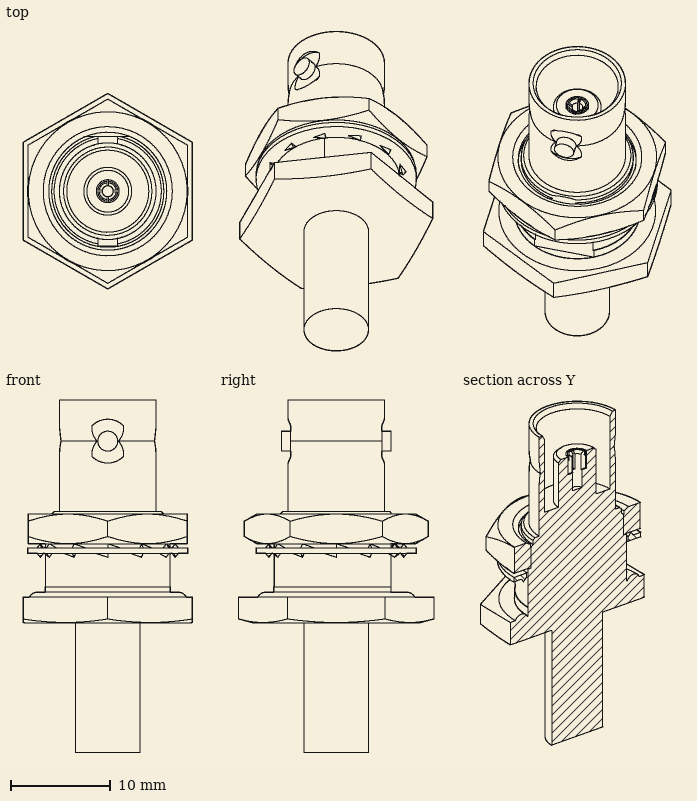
import cadquery as cq
import math


OVERSHOOT = 1.0

TOTAL_HEIGHT = 35.4
TAIL_RADIUS = 3.25
TAIL_LENGTH = 13.0
FLANGE_THICKNESS = 2.6
FLANGE_TOP = TAIL_LENGTH + FLANGE_THICKNESS
FLANGE_ACROSS_FLATS = 17.0
FLANGE_CHAMFER_RADIUS = 8.3
FLANGE_CHAMFER_ANGLE = 15.0

SEAL_CENTRE_RADIUS = 7.1
SEAL_SECTION_RADIUS = 0.85
SEAL_PROTRUSION = 0.5
SEAL_TOP = FLANGE_TOP + SEAL_PROTRUSION

SHANK_RADIUS = 6.3
SHANK_TOP = SEAL_TOP + 0.5
THREAD_RADIUS = 6.25
COLLAR_TOP = 24.2
COLLAR_RADIUS = 5.63
COLLAR_TOP_RADIUS = 5.38
COLLAR_HEIGHT = 0.7
NECK_RADIUS = 5.92
THREAD_FLAT_Y = 5.5

BARREL_RADIUS = 4.85
GROOVE_DEPTH = 0.15
GROOVE_HALF_WIDTH = 1.33
LUG_HEIGHT = 31.25
LUG_RADIUS = 1.0
LUG_TIP_SPAN = 11.0
SPOT_RADIUS = 2.2
SPOT_FLAT_SPAN = 9.16

BORE_RADIUS = 4.12
BORE_MOUTH_RADIUS = 4.43
BORE_MOUTH_DEPTH = 0.5
BORE_DEPTH = 8.7
POST_RADIUS = 2.4
POST_TOP_RADIUS = 2.1
POST_TOP = TOTAL_HEIGHT - 3.4
CONTACT_RADIUS = 1.0
CONTACT_GAP_RADIUS = 1.15
CONTACT_GAP_DEPTH = 0.5
CONTACT_HOLE_RADIUS = 0.55
CONTACT_MOUTH_RADIUS = 0.85
CONTACT_HOLE_DEPTH = 4.0
CONTACT_SLOT_WIDTH = 0.2
CONTACT_SLOT_DEPTH = 2.0
CONTACT_SLOT_COUNT = 4

WASHER_RADIUS = 8.05
WASHER_BORE_RADIUS = 6.4
WASHER_BOTTOM = 20.0
WASHER_THICKNESS = 0.55
WASHER_TOP = WASHER_BOTTOM + WASHER_THICKNESS
TOOTH_COUNT = 12
TOOTH_HEIGHT = 0.4
TOOTH_TIP_RADIUS = 6.77
TOOTH_HALF_WIDTH = 0.33
TOOTH_ANGLE = 10.5

NUT_BOTTOM = WASHER_TOP + TOOTH_HEIGHT
NUT_THICKNESS = 3.0
NUT_TOP = NUT_BOTTOM + NUT_THICKNESS
NUT_ACROSS_FLATS = 16.0
NUT_CHAMFER_ANGLE = 30.0
NUT_CHAMFER_RADIUS = 7.97
NUT_MOUTH_RADIUS = 6.48
NUT_MOUTH_ANGLE = 30.0


def slope(angle):
    return math.tan(math.radians(angle))


def revolve(profile):
    """Turn a closed XZ profile (X is the radius) around the Z axis."""
    return profile.close().revolve(360, (0, 0, 0), (0, 1, 0))


def cylinder(radius, bottom, top):
    return cq.Workplane("XY").workplane(offset=bottom).circle(radius).extrude(top - bottom)


def hexagon(across_flats, bottom, top):
    """Hexagonal prism with corners on the Y axis and flats facing +X and -X."""
    corner_diameter = across_flats / math.cos(math.pi / 6)
    prism = cq.Workplane("XY").workplane(offset=bottom).polygon(6, corner_diameter)
    return prism.extrude(top - bottom).rotate((0, 0, 0), (0, 0, 1), 30)


def corner_chamfer(start_radius, angle, face_z, inward):
    """Ring that bevels hexagon corners at face_z; inward is +1 or -1 along Z."""
    outer_radius = 2 * start_radius
    drop = (outer_radius - start_radius) * slope(angle)
    return revolve(
        cq.Workplane("XZ")
        .moveTo(start_radius, face_z)
        .lineTo(outer_radius, face_z + inward * drop)
        .lineTo(outer_radius, face_z)
    )


def make_flange():
    flange = hexagon(FLANGE_ACROSS_FLATS, TAIL_LENGTH, FLANGE_TOP)
    flange = flange.cut(corner_chamfer(FLANGE_CHAMFER_RADIUS, FLANGE_CHAMFER_ANGLE, TAIL_LENGTH, 1))
    seal_centre = cq.Vector(0, 0, SEAL_TOP - SEAL_SECTION_RADIUS)
    seal = cq.Workplane(cq.Solid.makeTorus(SEAL_CENTRE_RADIUS, SEAL_SECTION_RADIUS, seal_centre))
    return flange.union(seal)


def make_threaded_section():
    """Thread, nut neck and collar; the neck and collar end in 45 degree chamfers."""
    collar_bottom = COLLAR_TOP - COLLAR_HEIGHT
    collar_chamfer = COLLAR_RADIUS - COLLAR_TOP_RADIUS
    neck_chamfer = NECK_RADIUS - COLLAR_RADIUS
    section = revolve(
        cq.Workplane("XZ")
        .moveTo(0, TAIL_LENGTH)
        .lineTo(SHANK_RADIUS, TAIL_LENGTH)
        .lineTo(SHANK_RADIUS, SHANK_TOP)
        .lineTo(THREAD_RADIUS, SHANK_TOP)
        .lineTo(THREAD_RADIUS, NUT_BOTTOM)
        .lineTo(NECK_RADIUS, NUT_BOTTOM)
        .lineTo(NECK_RADIUS, collar_bottom - neck_chamfer)
        .lineTo(COLLAR_RADIUS, collar_bottom)
        .lineTo(COLLAR_RADIUS, COLLAR_TOP - collar_chamfer)
        .lineTo(COLLAR_TOP_RADIUS, COLLAR_TOP)
        .lineTo(0, COLLAR_TOP)
    )
    flat_cutter = cq.Workplane("XY").box(
        2 * THREAD_RADIUS, 2 * OVERSHOOT, COLLAR_TOP, centered=(True, False, False)
    )
    return section.cut(flat_cutter.translate((0, THREAD_FLAT_Y, FLANGE_TOP)))


def make_barrel():
    """Barrel with a shallow arc groove, flat spots around the lugs, and two bayonet lugs."""
    groove_radius = (GROOVE_HALF_WIDTH**2 + GROOVE_DEPTH**2) / (2 * GROOVE_DEPTH)
    neck = (BARREL_RADIUS - GROOVE_DEPTH, LUG_HEIGHT)
    groove_top = (BARREL_RADIUS, LUG_HEIGHT + GROOVE_HALF_WIDTH)
    barrel = revolve(
        cq.Workplane("XZ")
        .moveTo(0, FLANGE_TOP)
        .lineTo(BARREL_RADIUS, FLANGE_TOP)
        .lineTo(BARREL_RADIUS, LUG_HEIGHT - GROOVE_HALF_WIDTH)
        .radiusArc(neck, -groove_radius)
        .radiusArc(groove_top, -groove_radius)
        .lineTo(BARREL_RADIUS, TOTAL_HEIGHT)
        .lineTo(0, TOTAL_HEIGHT)
    )
    lug_plane = cq.Workplane("XZ", origin=(0, 0, LUG_HEIGHT))
    for side in (-1, 1):
        spot_plane = lug_plane.workplane(offset=side * SPOT_FLAT_SPAN / 2)
        barrel = barrel.cut(spot_plane.circle(SPOT_RADIUS).extrude(side * OVERSHOOT))
    lugs = lug_plane.circle(LUG_RADIUS).extrude(LUG_TIP_SPAN / 2, both=True)
    return barrel.union(lugs)


def make_socket_cavity():
    """Space between the barrel wall and the central insulator post."""
    floor = TOTAL_HEIGHT - BORE_DEPTH
    cavity = revolve(
        cq.Workplane("XZ")
        .moveTo(0, floor)
        .lineTo(BORE_RADIUS, floor)
        .lineTo(BORE_RADIUS, TOTAL_HEIGHT - BORE_MOUTH_DEPTH)
        .lineTo(BORE_MOUTH_RADIUS, TOTAL_HEIGHT)
        .lineTo(0, TOTAL_HEIGHT)
    )
    post_chamfer = POST_RADIUS - POST_TOP_RADIUS
    post = cylinder(POST_RADIUS, floor, POST_TOP).faces(">Z").chamfer(post_chamfer)
    return cavity.cut(post)


def make_contact_opening():
    """Slotted, countersunk contact hole with a ring-shaped gap around the contact."""
    mouth_depth = CONTACT_MOUTH_RADIUS - CONTACT_HOLE_RADIUS
    hole_floor = POST_TOP - CONTACT_HOLE_DEPTH
    opening = revolve(
        cq.Workplane("XZ")
        .moveTo(0, hole_floor)
        .lineTo(CONTACT_HOLE_RADIUS, hole_floor)
        .lineTo(CONTACT_HOLE_RADIUS, POST_TOP - mouth_depth)
        .lineTo(CONTACT_MOUTH_RADIUS, POST_TOP)
        .lineTo(0, POST_TOP)
    )
    gap = cylinder(CONTACT_GAP_RADIUS, POST_TOP - CONTACT_GAP_DEPTH, POST_TOP)
    opening = opening.union(gap.cut(cylinder(CONTACT_RADIUS, POST_TOP - CONTACT_GAP_DEPTH, POST_TOP)))
    for index in range(CONTACT_SLOT_COUNT // 2):
        slot = cq.Workplane("XY").box(
            2 * CONTACT_GAP_RADIUS, CONTACT_SLOT_WIDTH, CONTACT_SLOT_DEPTH, centered=(True, True, False)
        )
        slot = slot.translate((0, 0, POST_TOP - CONTACT_SLOT_DEPTH))
        opening = opening.union(slot.rotate((0, 0, 0), (0, 0, 1), index * 360 / CONTACT_SLOT_COUNT))
    return opening


def make_connector_body():
    body = cylinder(TAIL_RADIUS, 0, TAIL_LENGTH)
    body = body.union(make_flange()).union(make_threaded_section()).union(make_barrel())
    return body.cut(make_socket_cavity()).cut(make_contact_opening())


def make_tooth(face_z, direction):
    """Pointed tooth: a triangle in a radial plane, tapering to a point on the washer face."""
    run_out = math.radians(-90 + direction * TOOTH_ANGLE)
    base = [
        cq.Vector(0, -TOOTH_TIP_RADIUS - TOOTH_HALF_WIDTH, face_z),
        cq.Vector(0, -TOOTH_TIP_RADIUS + TOOTH_HALF_WIDTH, face_z),
        cq.Vector(0, -TOOTH_TIP_RADIUS, face_z + direction * TOOTH_HEIGHT),
    ]
    apex = cq.Vector(TOOTH_TIP_RADIUS * math.cos(run_out), TOOTH_TIP_RADIUS * math.sin(run_out), face_z)
    outer, inner, tip = base
    triangles = [(outer, inner, tip), (outer, inner, apex), (inner, tip, apex), (tip, outer, apex)]
    faces = [cq.Face.makeFromWires(cq.Wire.makePolygon(corners, close=True)) for corners in triangles]
    return cq.Workplane(cq.Solid.makeSolid(cq.Shell.makeShell(faces)).fix())


def make_washer():
    washer = cylinder(WASHER_RADIUS, WASHER_BOTTOM, WASHER_TOP)
    washer = washer.cut(cylinder(WASHER_BORE_RADIUS, WASHER_BOTTOM, WASHER_TOP))
    for face_z, direction in ((WASHER_TOP, 1), (WASHER_BOTTOM, -1)):
        tooth = make_tooth(face_z, direction)
        for index in range(TOOTH_COUNT):
            washer = washer.union(tooth.rotate((0, 0, 0), (0, 0, 1), index * 360 / TOOTH_COUNT))
    return washer


def make_nut():
    """Hex nut whose bore fits the neck, with a countersunk mouth on top."""
    nut = hexagon(NUT_ACROSS_FLATS, NUT_BOTTOM, NUT_TOP)
    nut = nut.cut(corner_chamfer(NUT_CHAMFER_RADIUS, NUT_CHAMFER_ANGLE, NUT_TOP, -1))
    nut = nut.cut(corner_chamfer(NUT_CHAMFER_RADIUS, NUT_CHAMFER_ANGLE, NUT_BOTTOM, 1))
    mouth_depth = (NUT_MOUTH_RADIUS - NECK_RADIUS) * slope(NUT_MOUTH_ANGLE)
    bore = revolve(
        cq.Workplane("XZ")
        .moveTo(0, NUT_BOTTOM)
        .lineTo(NECK_RADIUS, NUT_BOTTOM)
        .lineTo(NECK_RADIUS, NUT_TOP - mouth_depth)
        .lineTo(NUT_MOUTH_RADIUS, NUT_TOP)
        .lineTo(0, NUT_TOP)
    )
    return nut.cut(bore)


connector_body = make_connector_body()
lock_washer = make_washer()
hex_nut = make_nut()

result = cq.Compound.makeCompound([body.solids().val() for body in (connector_body, lock_washer, hex_nut)])